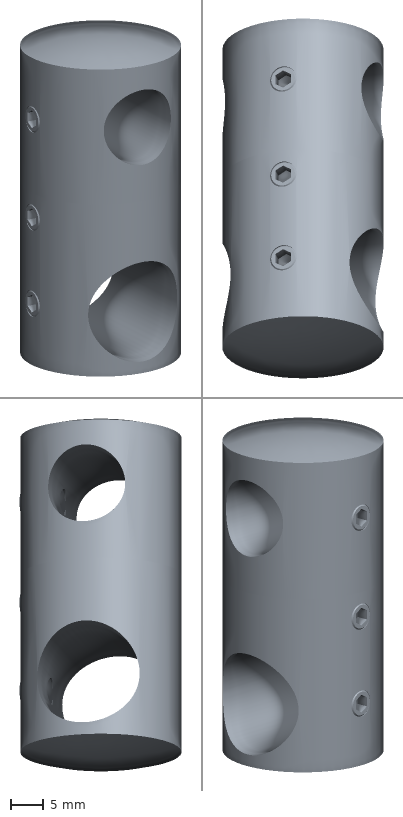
import cadquery as cq
import math

BODY_DIAMETER = 25.0
TOTAL_HEIGHT = 54.0
DOME_HEIGHT = 2.0
JOINT_HEIGHT = 30.0

ROD_HOLE_INSET = 12.0
UPPER_ROD_DIAMETER = 12.2
LOWER_ROD_DIAMETER = 16.2

SCREW_DIAMETER = 4.2
SCREW_CHAMFER = 0.2
HEX_ACROSS_FLATS = 2.5
HEX_DEPTH = 2.0
SOCKET_POINT_ANGLE = 120.0
LOCK_SCREW_DROP = 4.0

body_radius = BODY_DIAMETER / 2
upper_rod_height = TOTAL_HEIGHT - ROD_HOLE_INSET
lower_rod_height = ROD_HOLE_INSET
lock_screw_height = JOINT_HEIGHT - LOCK_SCREW_DROP

upper_screw_length = body_radius - UPPER_ROD_DIAMETER / 2
lower_screw_length = body_radius - LOWER_ROD_DIAMETER / 2
lock_screw_length = upper_screw_length


def facing_in(height):
    """Workplane on the -Y side of the cylinder at a height, with its normal along +Y."""
    front_point = (0, -body_radius, height)
    return cq.Workplane(cq.Plane(origin=front_point, xDir=(1, 0, 0), normal=(0, 1, 0)))


def domed_cylinder(joint, rim, crown):
    """Solid from the flat joint to the rim, closed by a spherical cap reaching the crown."""
    dome_rise = crown - rim
    dome_radius = (body_radius**2 + dome_rise**2) / (2 * abs(dome_rise))
    dome_center = crown - math.copysign(dome_radius, dome_rise)
    half_angle = math.asin(body_radius / dome_radius) / 2
    dome_middle = (
        dome_radius * math.sin(half_angle),
        dome_center + math.copysign(dome_radius * math.cos(half_angle), dome_rise),
    )
    return (
        cq.Workplane("YZ")
        .moveTo(0, joint)
        .lineTo(body_radius, joint)
        .lineTo(body_radius, rim)
        .threePointArc(dome_middle, (0, crown))
        .close()
        .revolve(360, (0, 0), (0, 1))
    )


def rod_hole(diameter, height):
    """Cutter along X through the whole body."""
    return cq.Workplane("YZ").center(0, height).circle(diameter / 2).extrude(body_radius, both=True)


def screw_cylinder(height, length):
    """Plain cylinder of the screw diameter, running inward from the -Y side."""
    return facing_in(height).circle(SCREW_DIAMETER / 2).extrude(length)


def set_screw(height, length, drilled_point):
    """Headless screw with a hexagon socket, which ends in a drill point if asked for."""
    hex_corner_diameter = HEX_ACROSS_FLATS / math.cos(math.pi / 6)
    screw = screw_cylinder(height, length).faces("<Y").chamfer(SCREW_CHAMFER)
    socket = (
        facing_in(height)
        .transformed(rotate=(0, 0, 90))
        .polygon(6, hex_corner_diameter)
        .extrude(HEX_DEPTH)
    )
    screw = screw.cut(socket)
    if drilled_point:
        point_radius = hex_corner_diameter / 2
        point_depth = point_radius / math.tan(math.radians(SOCKET_POINT_ANGLE / 2))
        point = cq.Solid.makeCone(
            point_radius,
            0,
            point_depth,
            pnt=cq.Vector(0, HEX_DEPTH - body_radius, height),
            dir=cq.Vector(0, 1, 0),
        )
        screw = screw.cut(cq.Workplane(point))
    return screw


upper_clamp = (
    domed_cylinder(JOINT_HEIGHT, TOTAL_HEIGHT - DOME_HEIGHT, TOTAL_HEIGHT)
    .cut(rod_hole(UPPER_ROD_DIAMETER, upper_rod_height))
    .cut(screw_cylinder(upper_rod_height, body_radius))
)

lower_clamp = (
    domed_cylinder(JOINT_HEIGHT, DOME_HEIGHT, 0)
    .cut(rod_hole(LOWER_ROD_DIAMETER, lower_rod_height))
    .cut(screw_cylinder(lower_rod_height, body_radius))
    .cut(screw_cylinder(lock_screw_height, lock_screw_length))
)

screw_layout = [
    (upper_rod_height, upper_screw_length, True),
    (lock_screw_height, lock_screw_length, False),
    (lower_rod_height, lower_screw_length, True),
]
screws = [set_screw(*placing).val() for placing in screw_layout]

result = cq.Compound.makeCompound([upper_clamp.val(), lower_clamp.val(), *screws])